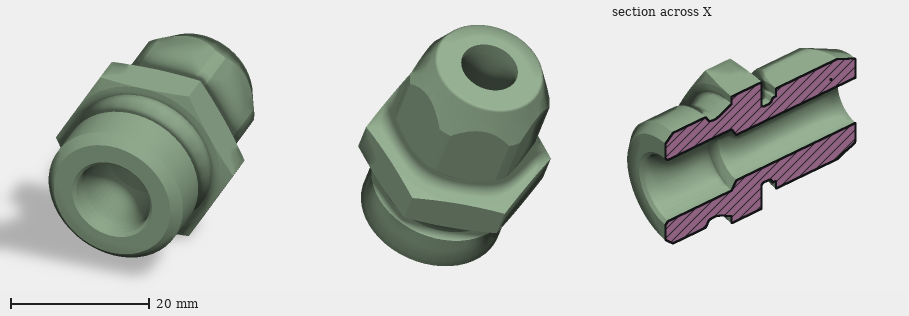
import cadquery as cq
import math


thread_radius = 10.5
thread_chamfer_length = 1.42
thread_face_radius = 9.12
thread_end = 7.33
thread_groove_radius = 9.25
thread_groove_lip_y = 7.98
thread_groove_lip_radius = 9.4
thread_groove_start = 8.75
thread_groove_end = 9.33

body_hex_flats = 24.0
body_hex_start = 12.0
body_hex_end = 17.5
body_hex_chamfer_angle = 15.0
sealing_cone_radius = 10.67

neck_radius = 7.22
neck_fillet = 0.45
neck_end = 18.74
neck_lip_y = 19.15
neck_lip_radius = 7.38
collar_radius = 8.07
collar_start = 19.48

nut_flats = 19.0
nut_corner_radius = 10.48
nut_start = 20.03
nut_end = 34.5
nut_cone_start = 29.03
nut_cone_angle = 24.5
nut_end_fillet = 0.5

bore_radius = 4.25
socket_radius = 5.75
socket_mouth_radius = 6.25
socket_mouth_depth = 0.5
socket_depth = 12.0
socket_floor_half_angle = 59.0


def tan_deg(angle):
    return math.tan(math.radians(angle))


def tangent_arc_radius(rise, run):
    """Radius of an arc that leaves a straight wall tangentially and climbs by rise over a length of run."""
    return (rise**2 + run**2) / (2 * rise)


def revolve_about_y(profile):
    """Turn a closed outline of (radius, y) points around the Y axis."""
    return profile.close().revolve(360, (0, 0, 0), (0, 1, 0))


def hex_corner_radius(across_flats):
    half_side_angle = math.pi / 6
    return across_flats / 2 / math.cos(half_side_angle)


def hex_prism(across_flats, start, end):
    """Hexagonal prism along Y with two of its flats facing up and down."""
    return (
        cq.Workplane("XZ", origin=(0, start, 0))
        .polygon(6, 2 * hex_corner_radius(across_flats))
        .extrude(start - end)
    )


def threaded_end():
    groove_fillet = tangent_arc_radius(
        thread_groove_lip_radius - thread_groove_radius, thread_groove_start - thread_groove_lip_y
    )
    profile = (
        cq.Workplane("XY")
        .lineTo(thread_face_radius, 0)
        .lineTo(thread_radius, thread_chamfer_length)
        .lineTo(thread_radius, thread_end)
        .lineTo(thread_groove_lip_radius, thread_groove_lip_y)
        .radiusArc((thread_groove_radius, thread_groove_start), groove_fillet)
        .lineTo(thread_groove_radius, thread_groove_end)
        .lineTo(sealing_cone_radius, body_hex_start)
        .lineTo(0, body_hex_start)
    )
    return revolve_about_y(profile)


def body_hexagon():
    face_radius = body_hex_flats / 2
    corner_radius = hex_corner_radius(body_hex_flats)
    chamfer_length = (corner_radius - face_radius) * tan_deg(body_hex_chamfer_angle)
    envelope = revolve_about_y(
        cq.Workplane("XY")
        .moveTo(0, body_hex_start)
        .lineTo(face_radius, body_hex_start)
        .lineTo(corner_radius, body_hex_start + chamfer_length)
        .lineTo(corner_radius, body_hex_end - chamfer_length)
        .lineTo(face_radius, body_hex_end)
        .lineTo(0, body_hex_end)
    )
    return hex_prism(body_hex_flats, body_hex_start, body_hex_end).intersect(envelope)


def neck():
    lip_fillet = tangent_arc_radius(neck_lip_radius - neck_radius, neck_lip_y - neck_end)
    profile = (
        cq.Workplane("XY")
        .moveTo(0, body_hex_end)
        .lineTo(neck_radius + neck_fillet, body_hex_end)
        .radiusArc((neck_radius, body_hex_end + neck_fillet), neck_fillet)
        .lineTo(neck_radius, neck_end)
        .radiusArc((neck_lip_radius, neck_lip_y), lip_fillet)
        .lineTo(collar_radius, collar_start)
        .lineTo(collar_radius, nut_start)
        .lineTo(0, nut_start)
    )
    return revolve_about_y(profile)


def nut():
    face_radius = nut_flats / 2
    start_chamfer = nut_corner_radius - face_radius
    cone_end_radius = nut_corner_radius - (nut_end - nut_cone_start) * tan_deg(nut_cone_angle)
    envelope = revolve_about_y(
        cq.Workplane("XY")
        .moveTo(0, nut_start)
        .lineTo(face_radius, nut_start)
        .lineTo(nut_corner_radius, nut_start + start_chamfer)
        .lineTo(nut_corner_radius, nut_cone_start)
        .lineTo(cone_end_radius, nut_end)
        .lineTo(0, nut_end)
    )
    envelope = envelope.faces(">Y").edges().fillet(nut_end_fillet)
    return hex_prism(nut_flats, nut_start, nut_end).intersect(envelope)


def bore():
    socket_floor_length = (socket_radius - bore_radius) / tan_deg(socket_floor_half_angle)
    profile = (
        cq.Workplane("XY")
        .lineTo(socket_mouth_radius, 0)
        .lineTo(socket_radius, socket_mouth_depth)
        .lineTo(socket_radius, socket_depth)
        .lineTo(bore_radius, socket_depth + socket_floor_length)
        .lineTo(bore_radius, nut_end)
        .lineTo(0, nut_end)
    )
    return revolve_about_y(profile)


result = threaded_end().union(body_hexagon()).union(neck()).union(nut()).cut(bore())